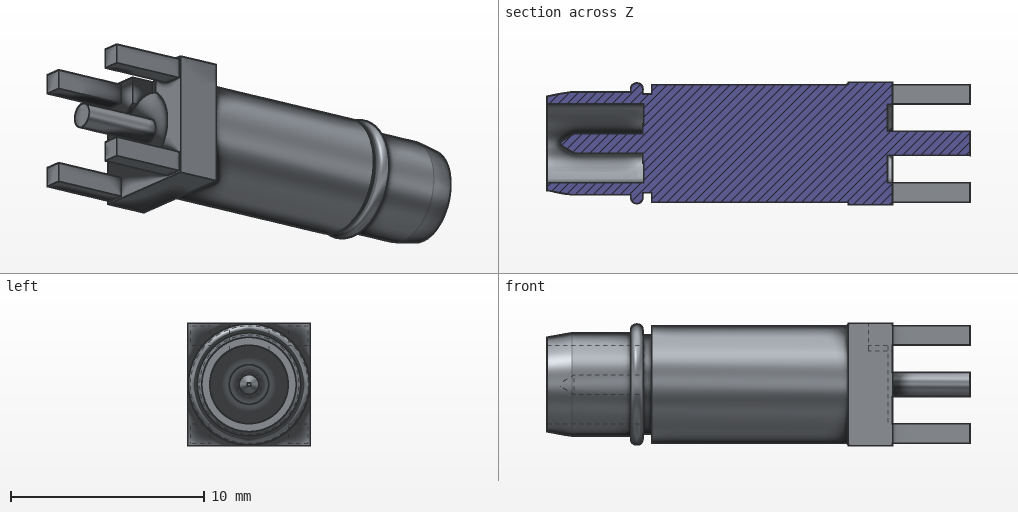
import cadquery as cq

overall_length = 21.89
leg_length = 4.0
front_x = -overall_length / 2
rear_x = overall_length / 2
nose_taper_length = 1.28
nose_length = 4.33
nose_end_x = front_x + nose_length
groove_length = 1.09
body_front_x = nose_end_x + groove_length
block_rear_x = rear_x - leg_length
block_length = 2.29
block_front_x = block_rear_x - block_length

tip_radius = 2.44
nose_radius = 2.67
nose_bulge = 0.015
groove_radius = 2.57
body_radius = 3.05
body_root_fillet = 0.1

ring_outer_radius = 3.13
ring_width = 0.64

bore_radius = 2.03
bore_depth = 5.0
bore_floor_x = front_x + bore_depth
front_insulator_radius = 1.02
front_insulator_height = 0.05
front_pin_radius = 0.51
front_pin_tip_radius = 0.1
front_pin_cone_length = 0.7
front_pin_setback = 0.7
front_pin_tip_x = front_x + front_pin_setback

block_size = 6.35
leg_width = 1.02
leg_spacing = 5.08
slot_width = 2.04
slot_depth = 1.27
slot_floor_x = block_rear_x - slot_depth
rear_recess_depth = 0.27
insulator_rear_x = block_rear_x - rear_recess_depth
rear_pin_radius = 0.635


def axial_cylinder(start_x, end_x, radius):
    """Cylinder on the X axis between two X positions."""
    return cq.Workplane("YZ", origin=(start_x, 0, 0)).circle(radius).extrude(end_x - start_x)


def make_shell():
    """Turned outer shell: curved lead-in, nose, ring groove and main body."""
    taper_end_x = front_x + nose_taper_length
    taper_middle = (
        front_x + nose_taper_length / 2,
        (tip_radius + nose_radius) / 2 + nose_bulge,
    )
    profile = (
        cq.Workplane("XY")
        .moveTo(front_x, 0)
        .lineTo(front_x, tip_radius)
        .threePointArc(taper_middle, (taper_end_x, nose_radius))
        .lineTo(nose_end_x, nose_radius)
        .lineTo(nose_end_x, groove_radius)
        .lineTo(body_front_x, groove_radius)
        .lineTo(body_front_x, body_radius)
        .lineTo(block_front_x, body_radius)
        .lineTo(block_front_x, 0)
        .close()
    )
    return profile.revolve(360, (0, 0, 0), (1, 0, 0))


def make_ring():
    """Flat-sided ring with a fully rounded rim, standing out of the groove."""
    ring_rear_x = nose_end_x + ring_width
    crest_start_radius = ring_outer_radius - ring_width / 2
    profile = (
        cq.Workplane("XY")
        .moveTo(nose_end_x, 0)
        .lineTo(nose_end_x, crest_start_radius)
        .threePointArc((nose_end_x + ring_width / 2, ring_outer_radius), (ring_rear_x, crest_start_radius))
        .lineTo(ring_rear_x, 0)
        .close()
    )
    return profile.revolve(360, (0, 0, 0), (1, 0, 0))


def make_block():
    """Square block behind the body."""
    return cq.Workplane("YZ", origin=(block_front_x, 0, 0)).rect(block_size, block_size).extrude(block_length)


def make_rear_slot():
    """Rectangular slot cut into the rear of the block, open at the top."""
    slot = cq.Workplane("XY").box(slot_depth, slot_width, block_size / 2, centered=(False, True, False))
    return slot.translate((slot_floor_x, 0, 0))


def make_legs():
    """Four square legs at the corners of the block."""
    return (
        cq.Workplane("YZ", origin=(block_rear_x, 0, 0))
        .rarray(leg_spacing, leg_spacing, 2, 2)
        .rect(leg_width, leg_width)
        .extrude(leg_length)
    )


def make_front_pin():
    """Contact with a conical point, rising from the bore floor."""
    profile = (
        cq.Workplane("XY")
        .moveTo(front_pin_tip_x, 0)
        .lineTo(front_pin_tip_x, front_pin_tip_radius)
        .lineTo(front_pin_tip_x + front_pin_cone_length, front_pin_radius)
        .lineTo(bore_floor_x, front_pin_radius)
        .lineTo(bore_floor_x, 0)
        .close()
    )
    return profile.revolve(360, (0, 0, 0), (1, 0, 0))


def make_shell_with_block():
    """Shell joined to the block with a small fillet around the root of the body."""
    joined = make_shell().union(make_block())
    reach = body_radius + body_root_fillet
    root_zone = cq.selectors.BoxSelector(
        (block_front_x - body_root_fillet, -reach, -reach),
        (block_front_x + body_root_fillet, reach, reach),
    )
    return joined.edges(root_zone).edges("%CIRCLE").fillet(body_root_fillet)


result = make_shell_with_block().union(make_ring())

result = result.cut(axial_cylinder(front_x, bore_floor_x, bore_radius))
insulator_front_x = bore_floor_x - front_insulator_height
result = result.union(axial_cylinder(insulator_front_x, bore_floor_x, front_insulator_radius))
result = result.union(make_front_pin())

result = result.cut(make_rear_slot())
result = result.cut(axial_cylinder(insulator_rear_x, block_rear_x, bore_radius))
result = result.union(axial_cylinder(slot_floor_x, insulator_rear_x, bore_radius))

result = result.union(axial_cylinder(slot_floor_x, rear_x, rear_pin_radius))
result = result.union(make_legs())